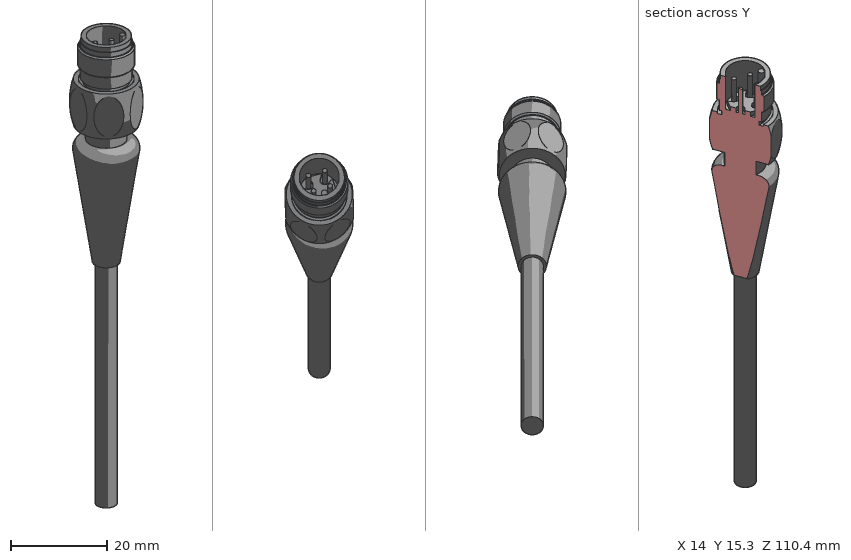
import cadquery as cq
import math

total_height = 110.4
cone_bottom = 57.1
collar_widest = 83.7
collar_top = 86.1
nut_bottom = 89.6
nut_top = 100.2
barrel_bottom = 100.7
ring_bottom = 103.5
ring_top = 108.2
tip_bottom = 109.3

cable_diameter = 4.6
cone_end_diameter = 5.9
collar_diameter = 14.0
collar_round = 2.2
neck_diameter = 8.7
relief_diameter = 9.9
barrel_diameter = 10.8
ring_diameter = 11.9
ring_chamfer = 0.3
tip_diameter = 10.5

nut_across_flats = 14.0
nut_belly_diameter = 15.3
nut_end_diameter = 13.7
nut_recess_diameter = 11.6
nut_recess_depth = 0.4

socket_diameter = 8.3
socket_depth = 8.8
pin_diameter = 1.0
pin_circle_radius = 2.5
pin_count = 4
pin_setback = 2.2
key_width = 1.3
key_reach = 1.2
key_setback = 0.4
key_angle = 45.0

insert_height = 1.1
insert_across_flats = 6.8
insert_key_corner = 2.0
pin_pocket_radius = 1.0
pin_pocket_mouth = 2.9


def cylinder(diameter, bottom, top):
    return cq.Workplane("XY").workplane(offset=bottom).circle(diameter / 2).extrude(top - bottom)


def make_boot():
    """Tapered strain relief with a rounded collar at its upper end."""
    collar_radius = collar_diameter / 2
    shoulder_radius = collar_radius - collar_round
    diagonal = math.sqrt(0.5)
    arc_middle = (
        shoulder_radius + collar_round * diagonal,
        collar_widest + (collar_top - collar_widest) * diagonal,
    )
    return (
        cq.Workplane("XZ")
        .moveTo(0, cone_bottom)
        .lineTo(cone_end_diameter / 2, cone_bottom)
        .lineTo(collar_radius, collar_widest)
        .threePointArc(arc_middle, (shoulder_radius, collar_top))
        .lineTo(0, collar_top)
        .close()
        .revolve(360, (0, 0, 0), (0, 1, 0))
    )


def make_nut():
    """Hexagonal prism, flats facing X, trimmed by a bulging body of revolution, recessed on top."""
    height = nut_top - nut_bottom
    corner_diameter = nut_across_flats / math.cos(math.pi / 6)
    prism = (
        cq.Workplane("XY")
        .workplane(offset=nut_bottom)
        .transformed(rotate=(0, 0, 30))
        .polygon(6, corner_diameter)
        .extrude(height)
    )
    end_radius = nut_end_diameter / 2
    belly = (
        cq.Workplane("XZ")
        .moveTo(0, nut_bottom)
        .lineTo(end_radius, nut_bottom)
        .threePointArc(
            (nut_belly_diameter / 2, nut_bottom + height / 2),
            (end_radius, nut_top),
        )
        .lineTo(0, nut_top)
        .close()
        .revolve(360, (0, 0, 0), (0, 1, 0))
    )
    recess = cylinder(nut_recess_diameter, nut_top - nut_recess_depth, nut_top)
    return prism.intersect(belly).cut(recess)


def make_barrel():
    """Plug barrel with a raised ring and a slimmer tip."""
    ring = cylinder(ring_diameter, ring_bottom, ring_top).edges().chamfer(ring_chamfer)
    barrel = cylinder(barrel_diameter, barrel_bottom, tip_bottom)
    tip = cylinder(tip_diameter, tip_bottom, total_height)
    return barrel.union(ring).union(tip)


def make_pins(floor):
    return (
        cq.Workplane("XY")
        .workplane(offset=floor)
        .polarArray(pin_circle_radius, 0, 360, pin_count)
        .circle(pin_diameter / 2)
        .extrude(total_height - pin_setback - floor)
    )


def make_insert(floor):
    """Diagonal square block with flared pockets at the pins and a square step at the key."""
    base = cq.Workplane("XY").workplane(offset=floor)
    square = (
        base.transformed(rotate=(0, 0, 45))
        .rect(insert_across_flats, insert_across_flats)
        .extrude(insert_height)
    )
    insert = square.intersect(cylinder(socket_diameter, floor, floor + insert_height))

    wall_radius = socket_diameter / 2
    pocket_mouth = (
        base.moveTo(pin_circle_radius, -pin_pocket_radius)
        .lineTo(wall_radius, -pin_pocket_mouth / 2)
        .lineTo(wall_radius, pin_pocket_mouth / 2)
        .lineTo(pin_circle_radius, pin_pocket_radius)
        .close()
        .extrude(insert_height)
    )
    pocket_back = base.center(pin_circle_radius, 0).circle(pin_pocket_radius).extrude(insert_height)
    pocket = pocket_mouth.union(pocket_back)
    for index in range(pin_count):
        insert = insert.cut(pocket.rotate((0, 0, 0), (0, 0, 1), index * 360 / pin_count))

    key_quadrant = base.rect(wall_radius, wall_radius, centered=False).extrude(insert_height)
    kept_corner = base.rect(insert_key_corner, insert_key_corner, centered=False).extrude(insert_height)
    return insert.cut(key_quadrant.cut(kept_corner))


def make_key(floor):
    """Round-nosed rib on the socket wall, sunk into the wall to join it."""
    nose_radius = key_width / 2
    nose_centre = socket_diameter / 2 - key_reach + nose_radius
    wall_middle = (socket_diameter + tip_diameter) / 4
    height = total_height - key_setback - floor
    base = cq.Workplane("XY").workplane(offset=floor)
    nose = base.center(nose_centre, 0).circle(nose_radius).extrude(height)
    web_length = wall_middle - nose_centre
    web = base.center(nose_centre + web_length / 2, 0).rect(web_length, key_width).extrude(height)
    return nose.union(web).rotate((0, 0, 0), (0, 0, 1), key_angle)


socket_floor = total_height - socket_depth

result = (
    cylinder(cable_diameter, 0, cone_bottom)
    .union(make_boot())
    .union(cylinder(neck_diameter, collar_top, nut_bottom))
    .union(make_nut())
    .union(cylinder(relief_diameter, nut_top - nut_recess_depth, barrel_bottom))
    .union(make_barrel())
    .cut(cylinder(socket_diameter, socket_floor, total_height))
    .union(make_insert(socket_floor))
    .union(make_pins(socket_floor))
    .union(make_key(socket_floor))
)